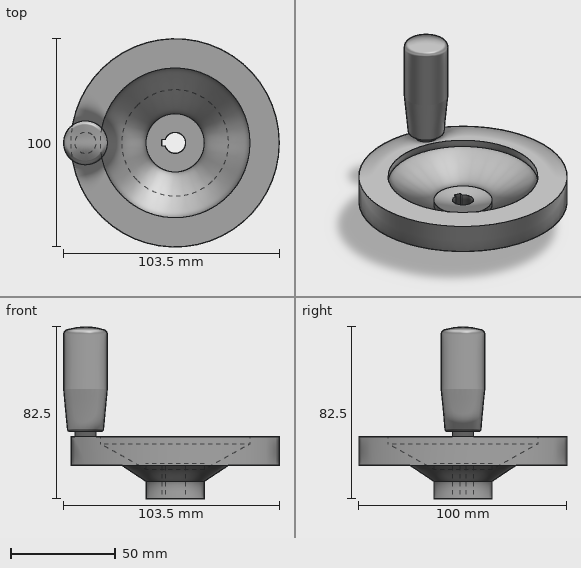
import cadquery as cq
import math

wheel_radius = 50.0
rim_inner_radius = 35.9
rim_height = 13.8
rim_bottom = 16.0
rim_top = rim_bottom + rim_height

hub_radius = 14.0
hub_lower_height = 8.4
hub_top = 16.9
web_outer_radius = 25.6
dish_step_depth = 3.4
dish_floor = 14.2

bore_radius = 5.0
keyway_width = 3.0
keyway_reach = 6.3

overall_length = 103.5
handle_diameter = 21.0
handle_radius = handle_diameter / 2
handle_offset = overall_length - wheel_radius - handle_radius
pin_radius = 5.1
handle_gap = 2.5
grip_bottom = rim_top + handle_gap
grip_bottom_radius = 8.7
bottom_edge_radius = 1.2
taper_top = 52.7
shoulder_height = 78.6
crown_edge_radius = 8.4
crown_edge_height = 81.2
handle_top = 82.5


def make_wheel():
    """Revolve the rim, web and hub as one solid section."""
    section = (
        cq.Workplane("XZ")
        .moveTo(0, 0)
        .lineTo(hub_radius, 0)
        .lineTo(hub_radius, hub_lower_height)
        .lineTo(web_outer_radius, rim_bottom)
        .lineTo(wheel_radius, rim_bottom)
        .lineTo(wheel_radius, rim_top)
        .lineTo(rim_inner_radius, rim_top)
        .lineTo(rim_inner_radius, rim_top - dish_step_depth)
        .lineTo(hub_radius, dish_floor)
        .lineTo(hub_radius, hub_top)
        .lineTo(0, hub_top)
        .close()
    )
    return section.revolve(360, (0, 0, 0), (0, 1, 0))


def make_bore():
    """Through bore joined with a keyway towards -X."""
    bore = cq.Workplane("XY").circle(bore_radius).extrude(hub_top)
    keyway = (
        cq.Workplane("XY")
        .center(-keyway_reach / 2, 0)
        .rect(keyway_reach, keyway_width)
        .extrude(hub_top)
    )
    return bore.union(keyway)


def make_handle():
    """Revolve the pin and the tapered grip with its domed top."""
    shoulder_x = handle_radius - crown_edge_radius
    shoulder_z = crown_edge_height - shoulder_height
    shoulder_middle = (
        crown_edge_radius + shoulder_x * math.cos(math.pi / 4),
        shoulder_height + shoulder_z * math.sin(math.pi / 4),
    )
    crown_rise = handle_top - crown_edge_height
    crown_radius = (crown_edge_radius**2 + crown_rise**2) / (2 * crown_rise)
    crown_middle_x = crown_edge_radius / 2
    crown_middle_z = handle_top - crown_radius + math.sqrt(crown_radius**2 - crown_middle_x**2)

    section = (
        cq.Workplane("XZ")
        .moveTo(0, rim_bottom)
        .lineTo(pin_radius, rim_bottom)
        .lineTo(pin_radius, grip_bottom)
        .lineTo(grip_bottom_radius - bottom_edge_radius, grip_bottom)
        .radiusArc((grip_bottom_radius, grip_bottom + bottom_edge_radius), -bottom_edge_radius)
        .lineTo(handle_radius, taper_top)
        .lineTo(handle_radius, shoulder_height)
        .threePointArc(shoulder_middle, (crown_edge_radius, crown_edge_height))
        .threePointArc((crown_middle_x, crown_middle_z), (0, handle_top))
        .close()
    )
    handle = section.revolve(360, (0, 0, 0), (0, 1, 0))
    return handle.translate((-handle_offset, 0, 0))


result = make_wheel().cut(make_bore()).union(make_handle())